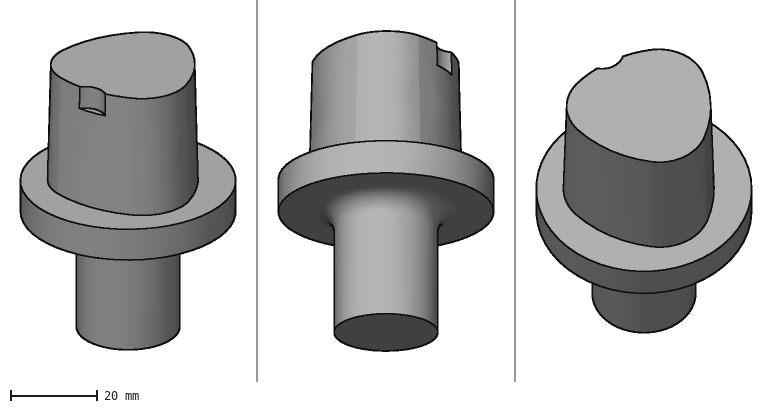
import cadquery as cq
import math

FLANGE_DIAMETER = 50.0
FLANGE_THICKNESS = 8.0

SHANK_DIAMETER = 24.1
SHANK_LENGTH = 30.0
SHANK_FILLET = 5.0

TAPER_HEIGHT = 30.0
TAPER_RATIO = 1 / 40
LOBE_COUNT = 3
LOBE_RADIUS = 11.7
LOBE_CENTER_DISTANCE = 7.0
SIDE_CENTER_DISTANCE = 13.35
FIRST_LOBE_ANGLE = 90.0

NOTCH_RADIUS = 5.0
NOTCH_BACK_Y = -13.9
NOTCH_DEPTH = 5.6

LOBE_PITCH = 360 / LOBE_COUNT
HALF_PITCH = LOBE_PITCH / 2


def polar(distance, angle):
    """Point at a distance from the axis, with the angle in degrees from +X."""
    return cq.Vector(
        distance * math.cos(math.radians(angle)),
        distance * math.sin(math.radians(angle)),
    )


def lobed_outline(z, inset):
    """Closed lobed wire at height z, offset inward by inset."""
    lobe_radius = LOBE_RADIUS - inset
    edges = []
    for index in range(LOBE_COUNT):
        lobe_angle = FIRST_LOBE_ANGLE + index * LOBE_PITCH
        side_angle = lobe_angle + HALF_PITCH
        lobe_center = polar(LOBE_CENTER_DISTANCE, lobe_angle)
        next_lobe_center = polar(LOBE_CENTER_DISTANCE, lobe_angle + LOBE_PITCH)
        previous_side_center = polar(-SIDE_CENTER_DISTANCE, lobe_angle - HALF_PITCH)
        side_center = polar(-SIDE_CENTER_DISTANCE, side_angle)

        start = lobe_center + (lobe_center - previous_side_center).normalized() * lobe_radius
        joint = lobe_center + (lobe_center - side_center).normalized() * lobe_radius
        end = next_lobe_center + (next_lobe_center - side_center).normalized() * lobe_radius
        lobe_tip = polar(LOBE_CENTER_DISTANCE + lobe_radius, lobe_angle)
        side_radius = (joint - side_center).Length
        side_middle = polar(side_radius - SIDE_CENTER_DISTANCE, side_angle)

        edges.append(cq.Edge.makeThreePointArc(start, lobe_tip, joint))
        edges.append(cq.Edge.makeThreePointArc(joint, side_middle, end))
    return cq.Wire.assembleEdges(edges).translate(cq.Vector(0, 0, z))


def make_taper():
    base = lobed_outline(0, 0)
    top = lobed_outline(TAPER_HEIGHT, TAPER_HEIGHT * TAPER_RATIO)
    return cq.Workplane(cq.Solid.makeLoft([base, top], True))


def make_flange_and_shank():
    """Revolved half profile of the flange, the fillet below it and the shank."""
    flange_radius = FLANGE_DIAMETER / 2
    shank_radius = SHANK_DIAMETER / 2
    flange_bottom = -FLANGE_THICKNESS
    shank_bottom = flange_bottom - SHANK_LENGTH
    fillet_outer_radius = shank_radius + SHANK_FILLET
    fillet_bottom = flange_bottom - SHANK_FILLET
    fillet_reach = SHANK_FILLET * math.sqrt(0.5)
    fillet_middle = (fillet_outer_radius - fillet_reach, fillet_bottom + fillet_reach)
    return (
        cq.Workplane("XZ")
        .lineTo(flange_radius, 0)
        .lineTo(flange_radius, flange_bottom)
        .lineTo(fillet_outer_radius, flange_bottom)
        .threePointArc(fillet_middle, (shank_radius, fillet_bottom))
        .lineTo(shank_radius, shank_bottom)
        .lineTo(0, shank_bottom)
        .close()
        .revolve(360, (0, 0), (0, 1))
    )


def make_notch_cutter():
    return (
        cq.Workplane("XY", origin=(0, NOTCH_BACK_Y - NOTCH_RADIUS, TAPER_HEIGHT))
        .circle(NOTCH_RADIUS)
        .extrude(-NOTCH_DEPTH)
    )


result = make_flange_and_shank().union(make_taper()).cut(make_notch_cutter())